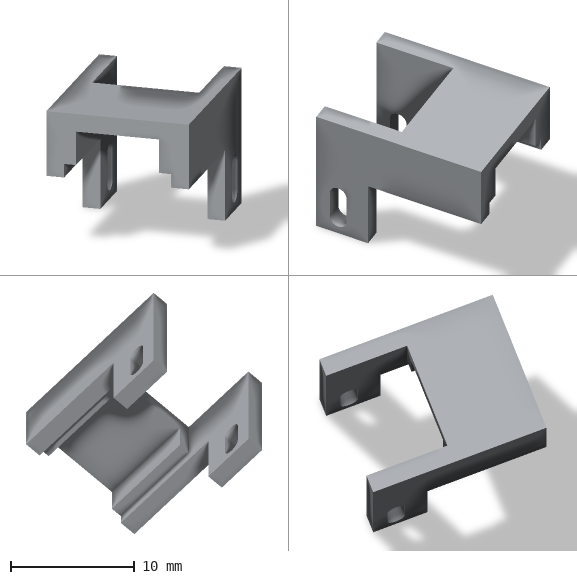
import cadquery as cq

width = 12.0
length = 15.0
height = 11.5

wall = 1.5
roof_thickness = 1.5
bridge_length = 8.0
channel_width = 7.0
shoulder_depth = 4.35

front_wall_depth = 5.5
leg_length = 4.71

slot_width = 1.5
slot_height = 4.0
slot_from_back = 2.0
slot_center_above_bottom = 2.72


def side_wall(x_start):
    """L-shaped wall, extruded along +X from x_start."""
    front_wall_bottom = height - front_wall_depth
    leg_front = length - leg_length
    return (
        cq.Workplane("YZ", origin=(x_start, 0, 0))
        .moveTo(0, height)
        .lineTo(length, height)
        .lineTo(length, 0)
        .lineTo(leg_front, 0)
        .lineTo(leg_front, front_wall_bottom)
        .lineTo(0, front_wall_bottom)
        .close()
        .extrude(wall)
    )


def bridge():
    """Block spanning the walls, with a channel cut below the roof."""
    block = cq.Workplane("XY").box(
        width, bridge_length, shoulder_depth, centered=(True, False, False)
    )
    channel = cq.Workplane("XY").box(
        channel_width, bridge_length, shoulder_depth - roof_thickness, centered=(True, False, False)
    )
    return block.cut(channel).translate((0, 0, height - shoulder_depth))


def leg_slots():
    """Upright round-ended cutter passing through both legs."""
    return (
        cq.Workplane("YZ")
        .center(length - slot_from_back, slot_center_above_bottom)
        .slot2D(slot_height, slot_width, 90)
        .extrude(width / 2, both=True)
    )


result = bridge()
for x_start in (-width / 2, width / 2 - wall):
    result = result.union(side_wall(x_start))
result = result.cut(leg_slots())